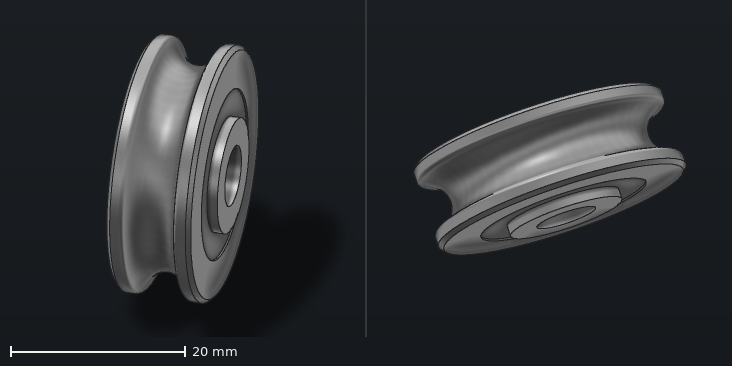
import cadquery as cq
import math

wheel_radius = 15.0
wheel_width = 10.02
rim_chamfer = 0.5
groove_radius = 3.0
lip_radius = 0.5

bearing_radius = 10.0
bearing_recess = 0.25

bush_radius = 6.75
bush_bore_radius = 3.55
overall_width = 12.0

bush_length = overall_width / 2
bearing_length = wheel_width / 2 - bearing_recess
sides = (-1, 1)


def make_ring(outer_radius, inner_radius, length, side):
    """Plain ring running from the middle plane towards one side along X."""
    return (
        cq.Workplane("YZ")
        .circle(outer_radius)
        .circle(inner_radius)
        .extrude(side * length)
    )


def make_wheel():
    """Revolve the wheel section, with rounded lips blending the rim into the groove."""
    half_width = wheel_width / 2
    chamfer_end = half_width - rim_chamfer

    centre_distance = groove_radius + lip_radius
    lip_centre_x = math.sqrt(centre_distance**2 - lip_radius**2)
    groove_end_x = lip_centre_x * groove_radius / centre_distance
    groove_end_r = wheel_radius - lip_radius * groove_radius / centre_distance

    half_angle = math.atan2(lip_centre_x, lip_radius) / 2
    lip_middle_x = lip_centre_x - lip_radius * math.sin(half_angle)
    lip_middle_r = wheel_radius - lip_radius + lip_radius * math.cos(half_angle)

    return (
        cq.Workplane("XY")
        .moveTo(-half_width, bearing_radius)
        .lineTo(-half_width, wheel_radius - rim_chamfer)
        .lineTo(-chamfer_end, wheel_radius)
        .lineTo(-lip_centre_x, wheel_radius)
        .threePointArc((-lip_middle_x, lip_middle_r), (-groove_end_x, groove_end_r))
        .threePointArc((0, wheel_radius - groove_radius), (groove_end_x, groove_end_r))
        .threePointArc((lip_middle_x, lip_middle_r), (lip_centre_x, wheel_radius))
        .lineTo(chamfer_end, wheel_radius)
        .lineTo(half_width, wheel_radius - rim_chamfer)
        .lineTo(half_width, bearing_radius)
        .close()
        .revolve(360, (0, 0, 0), (1, 0, 0))
    )


def make_bearing(side):
    return make_ring(bearing_radius, bush_radius, bearing_length, side)


def make_bush(side):
    return make_ring(bush_radius, bush_bore_radius, bush_length, side)


wheel = make_wheel()
bearings = [make_bearing(side).val() for side in sides]
bushes = [make_bush(side).val() for side in sides]

result = cq.Compound.makeCompound([wheel.val(), *bearings, *bushes])